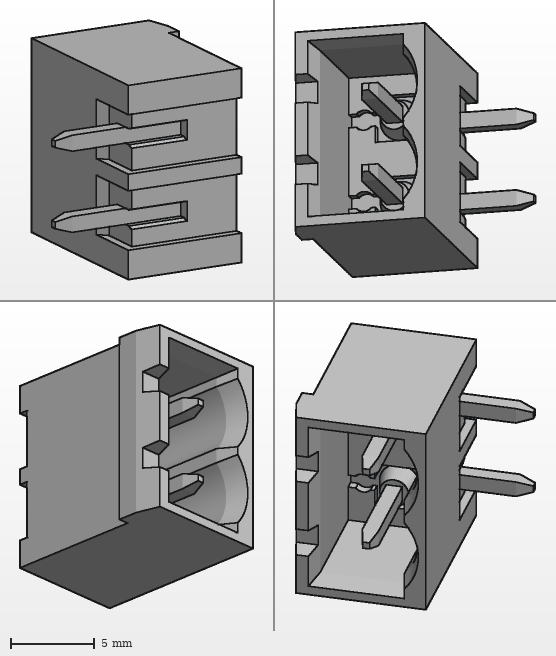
import cadquery as cq


LENGTH = 12.0
HEIGHT = 7.8
WIDTH = 12.16
PITCH = 5.08
POLE_Z = (-PITCH / 2, PITCH / 2)

LATCH_TOP = 8.5
LATCH_FRONT = 8.1
LATCH_RAMP_END = 1.6
LATCH_END = 3.0

CAVITY_BOTTOM = 1.72
CAVITY_TOP = 6.94
CAVITY_HALF_WIDTH = 5.23
CAVITY_DEPTH = 8.0
LEAD_IN_DEPTH = 1.4
LEAD_IN_Y = 0.38
LEAD_IN_Z = 0.26
BAY_RADIUS = 3.0
BAY_MOUTH_RADIUS = 3.42

RECESS_FLOOR = 8.6
RECESS_TOP = 5.3
RECESS_WIDTH = 2.86
CHANNEL_WIDTH = 0.82
CHANNEL_BULGE_Y = 6.0
BULGE_RADIUS = 0.62

NOTCH_DEPTH = 1.15
NOTCH_FLOOR_WIDTH = 1.36
NOTCH_MOUTH_WIDTH = 1.78

COLLAR_RADIUS = 1.25
COLLAR_TIP_RADIUS = 0.9
COLLAR_HEIGHT = 1.3

PIN_SIZE = 1.0
PIN_TIP_SIZE = 0.42
PIN_TAPER = 1.02
PIN_Y = 3.89
PIN_FRONT = 0.65
TAIL_X = 10.1
TAIL_END = -4.1

RELIEF_START = 8.0
RELIEF_DEPTH = 0.58
RELIEF_INNER_Z = 0.52
RELIEF_OUTER_Z = 4.24
REAR_WALL_X = 11.4


def box(x0, x1, y0, y1, z0, z1):
    """Axis-aligned box given by its limits."""
    return cq.Workplane("XY").box(x1 - x0, y1 - y0, z1 - z0, centered=False).translate((x0, y0, z0))


def make_housing():
    profile = [
        (0, 0),
        (LENGTH, 0),
        (LENGTH, HEIGHT),
        (LATCH_END, HEIGHT),
        (LATCH_END, LATCH_TOP),
        (LATCH_RAMP_END, LATCH_TOP),
        (0, LATCH_FRONT),
    ]
    return cq.Workplane("XY").polyline(profile).close().extrude(WIDTH / 2, both=True)


def straight_cavity():
    return box(0, CAVITY_DEPTH, CAVITY_BOTTOM, CAVITY_TOP, -CAVITY_HALF_WIDTH, CAVITY_HALF_WIDTH)


def cavity_lead_in():
    """Funnel that narrows from the mating face to the straight cavity."""
    middle_y = (CAVITY_BOTTOM + CAVITY_TOP) / 2
    inner_y = CAVITY_TOP - CAVITY_BOTTOM
    inner_z = 2 * CAVITY_HALF_WIDTH
    return (
        cq.Workplane("YZ", origin=(0, middle_y, 0))
        .rect(inner_y + 2 * LEAD_IN_Y, inner_z + 2 * LEAD_IN_Z)
        .workplane(offset=LEAD_IN_DEPTH)
        .rect(inner_y, inner_z)
        .loft(ruled=True)
    )


def cavity_bay(pole_z):
    """Round bay below the cavity, with a conical mouth."""
    profile = [
        (0, 0),
        (0, BAY_MOUTH_RADIUS),
        (LEAD_IN_DEPTH, BAY_RADIUS),
        (RECESS_FLOOR, BAY_RADIUS),
        (RECESS_FLOOR, 0),
    ]
    round_bay = cq.Workplane("XY").polyline(profile).close().revolve(360, (0, 0), (1, 0))
    below_cavity = box(0, LENGTH, 0, CAVITY_BOTTOM, -WIDTH, WIDTH)
    return round_bay.translate((0, PIN_Y, pole_z)).intersect(below_cavity)


def floor_recess(pole_z):
    """Pocket around the pin plus a keyhole channel up to the cavity top."""
    half_width = RECESS_WIDTH / 2
    half_channel = CHANNEL_WIDTH / 2
    pocket = box(CAVITY_DEPTH, RECESS_FLOOR, CAVITY_BOTTOM, RECESS_TOP, -half_width, half_width)
    channel = box(CAVITY_DEPTH, RECESS_FLOOR, RECESS_TOP, CAVITY_TOP, -half_channel, half_channel)
    bulge = (
        cq.Workplane("YZ", origin=(CAVITY_DEPTH, CHANNEL_BULGE_Y, 0))
        .circle(BULGE_RADIUS)
        .extrude(RECESS_FLOOR - CAVITY_DEPTH)
    )
    return pocket.union(channel).union(bulge).translate((0, 0, pole_z))


def coding_notch(pole_z):
    """Notch through the latch wall, narrower at its floor."""
    profile = [
        (0, -NOTCH_MOUTH_WIDTH / 2),
        (NOTCH_DEPTH, -NOTCH_FLOOR_WIDTH / 2),
        (NOTCH_DEPTH, NOTCH_FLOOR_WIDTH / 2),
        (0, NOTCH_MOUTH_WIDTH / 2),
    ]
    return (
        cq.Workplane("XZ", origin=(0, LATCH_TOP, pole_z))
        .polyline(profile)
        .close()
        .extrude(LATCH_TOP - CAVITY_TOP)
    )


def tail_relief(side):
    """Shallow ramped pocket on the board face, plus the set-back rear wall over the full height."""
    z_limits = sorted((side * RELIEF_INNER_Z, side * RELIEF_OUTER_Z))
    profile = [
        (RELIEF_START, 0),
        (RELIEF_START + RELIEF_DEPTH, RELIEF_DEPTH),
        (REAR_WALL_X, RELIEF_DEPTH),
        (REAR_WALL_X, HEIGHT),
        (LENGTH, HEIGHT),
        (LENGTH, 0),
    ]
    return (
        cq.Workplane("XY", origin=(0, 0, z_limits[0]))
        .polyline(profile)
        .close()
        .extrude(z_limits[1] - z_limits[0])
    )


def tail_slot(pole_z):
    """Slot behind the tail, flared round where it leaves the rear wall."""
    half_pin = PIN_SIZE / 2
    slot_top = PIN_Y + half_pin
    slot = box(TAIL_X, REAR_WALL_X, 0, slot_top, pole_z - half_pin, pole_z + half_pin)
    flare = cq.Workplane("XZ", origin=(REAR_WALL_X, slot_top, pole_z)).circle(BULGE_RADIUS).extrude(slot_top)
    return slot.union(flare)


def collar(pole_z):
    return (
        cq.Workplane("YZ", origin=(RECESS_FLOOR, PIN_Y, pole_z))
        .circle(COLLAR_RADIUS)
        .workplane(offset=-COLLAR_HEIGHT)
        .circle(COLLAR_TIP_RADIUS)
        .loft(ruled=True)
    )


def tapered_bar(plane, start, length):
    """Square bar along the plane normal, ending in a pyramidal tip."""
    straight = length - PIN_TAPER
    shank = cq.Workplane(plane, origin=start).rect(PIN_SIZE, PIN_SIZE).extrude(straight)
    tip = (
        cq.Workplane(plane, origin=start)
        .workplane(offset=straight)
        .rect(PIN_SIZE, PIN_SIZE)
        .workplane(offset=PIN_TAPER)
        .rect(PIN_TIP_SIZE, PIN_TIP_SIZE)
        .loft(ruled=True)
    )
    return shank.union(tip)


def bent_pin(pole_z):
    bend_x = TAIL_X + PIN_SIZE / 2
    bend_y = PIN_Y + PIN_SIZE / 2
    contact = tapered_bar("ZY", (bend_x, PIN_Y, pole_z), bend_x - PIN_FRONT)
    tail = tapered_bar("XZ", (TAIL_X, bend_y, pole_z), bend_y - TAIL_END)
    return contact.union(tail)


result = make_housing().cut(straight_cavity()).cut(cavity_lead_in())

for side in (-1, 1):
    result = result.cut(tail_relief(side))

for z in POLE_Z:
    for cutter in (cavity_bay(z), floor_recess(z), coding_notch(z), tail_slot(z)):
        result = result.cut(cutter)
    result = result.union(collar(z)).union(bent_pin(z))